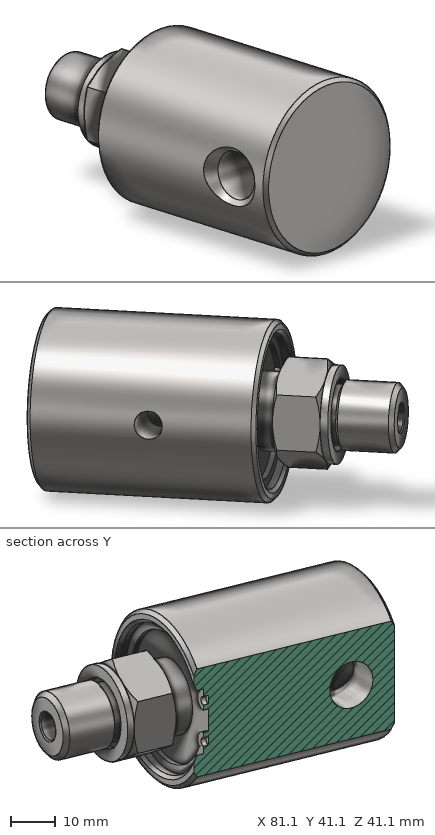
import cadquery as cq
import math

total_length = 81.1

stub_diameter = 15.8
stub_end_diameter = 13.5
stub_chamfer_length = 1.05
stub_length = 12.7
undercut_diameter = 13.8
undercut_taper_length = 0.65
bore_diameter = 6.4
bore_mouth_diameter = 7.05
bore_mouth_depth = 0.3

washer_start = 14.2
washer_diameter = 22.2
washer_bore_diameter = 16.5
hex_start = 16.0
hex_end = 26.9
hex_across_flats = 21.9
hex_chamfer_angle = 30.0
half_hex_angle = 360 / 6 / 2

shaft_diameter = 17.85
inner_shaft_diameter = 15.8

housing_start = 28.6
housing_diameter = 41.05
housing_chamfer = 0.9
recess_diameter = 35.0
recess_chamfer = 0.8
ring_depth = 2.5
ring_thickness = 1.3

ring_inner_diameter = 31.1
lug_diameter = 4.7
lug_hole_diameter = 1.95
lug_circle_radius = 16.5
lug_offset = 5.0

port_x = 69.8
port_rim_diameter = 11.3
port_end_diameter = 10.7
port_mouth_diameter = 15.8
vent_x = 53.1
vent_diameter = 6.4

housing_radius = housing_diameter / 2
hex_across_corners = hex_across_flats / math.cos(math.radians(half_hex_angle))
recess_depth = ring_depth + ring_thickness
floor_x = housing_start + recess_depth


def turned(points):
    """Revolve a closed outline of (x, radius) points about the X axis."""
    return cq.Workplane("XY").polyline(points).close().revolve(360, (0, 0, 0), (1, 0, 0))


def rod(start, end, diameter):
    """Cylinder on the X axis."""
    return cq.Workplane("YZ", origin=(start, 0, 0)).circle(diameter / 2).extrude(end - start)


def make_shaft():
    stub_radius = stub_diameter / 2
    undercut_radius = undercut_diameter / 2
    shaft_radius = shaft_diameter / 2
    body = turned([
        (0, 0),
        (0, stub_end_diameter / 2),
        (stub_chamfer_length, stub_radius),
        (stub_length, stub_radius),
        (stub_length + undercut_taper_length, undercut_radius),
        (hex_start, undercut_radius),
        (hex_start, shaft_radius),
        (floor_x, shaft_radius),
        (floor_x, 0),
    ])
    washer = rod(washer_start, hex_start, washer_diameter)
    washer = washer.cut(rod(washer_start, hex_start, washer_bore_diameter))
    return body.union(washer).union(make_hexagon())


def make_hexagon():
    """Hexagon with corners on Z, both ends turned to a shallow cone."""
    prism = (
        cq.Workplane("YZ", origin=(hex_start, 0, 0))
        .polygon(6, hex_across_corners)
        .extrude(hex_end - hex_start)
        .rotate((0, 0, 0), (1, 0, 0), half_hex_angle)
    )
    flat_radius = hex_across_flats / 2
    corner_radius = hex_across_corners / 2
    chamfer_length = (corner_radius - flat_radius) * math.tan(math.radians(hex_chamfer_angle))
    envelope = turned([
        (hex_start, 0),
        (hex_start, flat_radius),
        (hex_start + chamfer_length, corner_radius),
        (hex_end - chamfer_length, corner_radius),
        (hex_end, flat_radius),
        (hex_end, 0),
    ])
    return prism.intersect(envelope)


def make_housing():
    recess_radius = recess_diameter / 2
    return turned([
        (floor_x, 0),
        (floor_x, recess_radius),
        (housing_start + recess_chamfer, recess_radius),
        (housing_start, recess_radius + recess_chamfer),
        (housing_start, housing_radius - housing_chamfer),
        (housing_start + housing_chamfer, housing_radius),
        (total_length - housing_chamfer, housing_radius),
        (total_length, housing_radius - housing_chamfer),
        (total_length, 0),
    ])


def make_retaining_ring():
    """Open ring whose ends carry lugs with plier holes, gap facing -Y."""
    ring_start = housing_start + ring_depth
    lug_y = -math.sqrt(lug_circle_radius**2 - lug_offset**2)
    lug_centers = [(lug_y, -lug_offset), (lug_y, lug_offset)]
    face = cq.Workplane("YZ", origin=(ring_start, 0, 0))

    disc = rod(ring_start, floor_x, recess_diameter)
    gap_length = recess_diameter / 2
    gap = face.center(lug_y, 0).rect(gap_length, 2 * lug_offset).extrude(ring_thickness)
    band = disc.cut(rod(ring_start, floor_x, ring_inner_diameter)).cut(gap)
    lugs = face.pushPoints(lug_centers).circle(lug_diameter / 2).extrude(ring_thickness)
    holes = face.pushPoints(lug_centers).circle(lug_hole_diameter / 2).extrude(ring_thickness)
    return band.union(lugs.intersect(disc)).cut(holes)


def inner_shaft():
    """Core of the housing where the radial holes stop."""
    return rod(floor_x, total_length, inner_shaft_diameter)


def make_port():
    """Countersunk, slightly tapered port on the -Y side, reaching in to the shaft surface."""
    mouth_radius = port_mouth_diameter / 2
    rim_radius = port_rim_diameter / 2
    end_radius = port_end_diameter / 2
    countersink_depth = mouth_radius - rim_radius
    port = (
        cq.Workplane("XY", origin=(port_x, 0, 0))
        .polyline([
            (0, 0),
            (end_radius, 0),
            (end_radius, -inner_shaft_diameter / 2),
            (rim_radius, -housing_radius + countersink_depth),
            (mouth_radius, -housing_radius),
            (0, -housing_radius),
        ])
        .close()
        .revolve(360, (0, 0, 0), (0, 1, 0))
    )
    return port.cut(inner_shaft())


def make_vent():
    """Plain hole on the +Y side, reaching in to the shaft surface."""
    vent = cq.Workplane("XZ", origin=(vent_x, 0, 0)).circle(vent_diameter / 2).extrude(-housing_radius)
    return vent.cut(inner_shaft())


def make_bore():
    """Blind bore from the stub end to the port axis, with a chamfered mouth."""
    bore_radius = bore_diameter / 2
    return turned([
        (0, 0),
        (0, bore_mouth_diameter / 2),
        (bore_mouth_depth, bore_radius),
        (port_x, bore_radius),
        (port_x, 0),
    ])


result = make_shaft().union(make_housing()).union(make_retaining_ring())
result = result.cut(make_port()).cut(make_vent()).cut(make_bore())